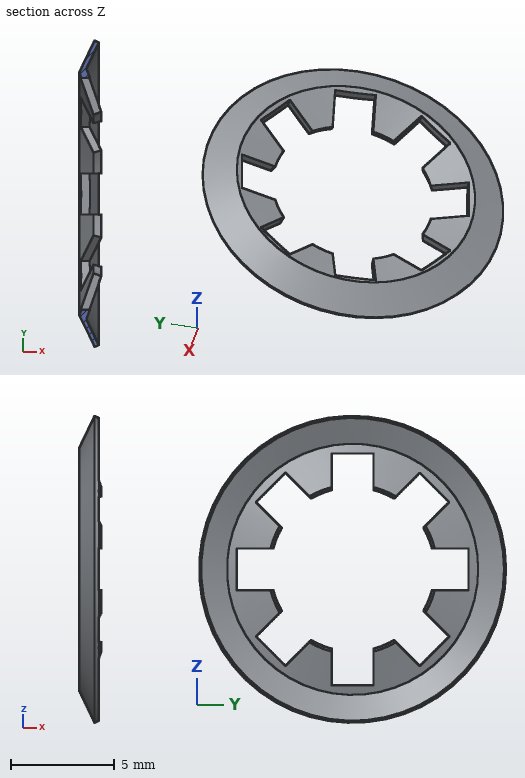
import cadquery as cq
import math

outer_radius = 7.42
ridge_radius = 5.87
tip_radius = 3.96
rim_depth = 0.74
rim_thickness = 0.24
tooth_thickness = 0.4
tooth_angle = math.radians(19.9)
slot_width = 2.0
slot_reach = 5.59
slot_count = 8

rim_angle = math.atan2(rim_depth, outer_radius - ridge_radius)

tip_front_x = (ridge_radius - tip_radius) * math.tan(tooth_angle)
tip_back_x = tip_front_x + tooth_thickness * math.cos(tooth_angle)
tip_back_radius = tip_radius + tooth_thickness * math.sin(tooth_angle)
rim_back_x = rim_depth + rim_thickness * math.cos(rim_angle)
rim_back_radius = outer_radius - rim_thickness * math.sin(rim_angle)

rim_slope = math.tan(rim_angle)
tooth_slope = math.tan(tooth_angle)
rim_back_at_ridge = rim_thickness / math.cos(rim_angle)
tooth_back_at_ridge = tooth_thickness / math.cos(tooth_angle)
bend_shift = (tooth_back_at_ridge - rim_back_at_ridge) / (rim_slope + tooth_slope)
bend_back_x = rim_back_at_ridge + rim_slope * bend_shift
bend_back_radius = ridge_radius + bend_shift


def make_dished_ring():
    """Revolve the V-shaped section, drawn as (X, radius), about the X axis."""
    section = [
        (0, ridge_radius),
        (rim_depth, outer_radius),
        (rim_back_x, rim_back_radius),
        (bend_back_x, bend_back_radius),
        (tip_back_x, tip_back_radius),
        (tip_front_x, tip_radius),
    ]
    return cq.Workplane("XY").polyline(section).close().revolve(360, (0, 0, 0), (1, 0, 0))


def make_slot(angle):
    """Square-ended slot running from the axis outward, through the full depth."""
    slot = cq.Workplane("XY").box(tip_back_x, slot_width, slot_reach, centered=(False, True, False))
    return slot.rotate((0, 0, 0), (1, 0, 0), angle)


result = make_dished_ring()
for index in range(slot_count):
    result = result.cut(make_slot(index * 360 / slot_count))